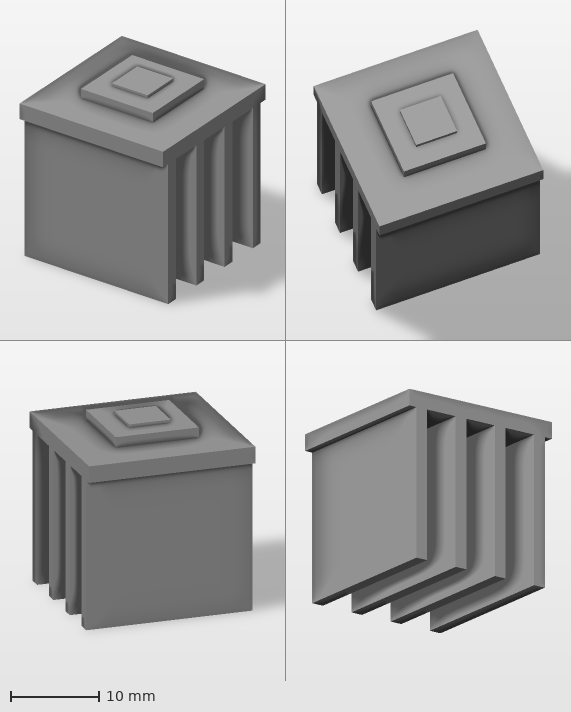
import cadquery as cq

BASE_SIDE = 20.0
BASE_THICKNESS = 2.0
FIN_HEIGHT = 18.0
FIN_THICKNESS = 1.5
FIN_COUNT = 4
FIN_EDGE_INSET = 1.0
FIN_PITCH = (BASE_SIDE - 2 * FIN_EDGE_INSET - FIN_THICKNESS) / (FIN_COUNT - 1)

BOARD_SIDE = BASE_SIDE / 2
LOWER_BOND_THICKNESS = 0.05
SUBSTRATE_THICKNESS = 1.02
UPPER_BOND_THICKNESS = 0.07
TOP_LAYER_THICKNESS = 0.13
DIE_SIDE = BASE_SIDE / 4
DIE_THICKNESS = 0.41

INSERT_SIDE = 0.5
INSERT_PITCH = 0.67
INSERT_COUNT = 3

BASE_TOP = FIN_HEIGHT + BASE_THICKNESS
LOWER_BOND_TOP = BASE_TOP + LOWER_BOND_THICKNESS
SUBSTRATE_TOP = LOWER_BOND_TOP + SUBSTRATE_THICKNESS
UPPER_BOND_TOP = SUBSTRATE_TOP + UPPER_BOND_THICKNESS
TOP_LAYER_TOP = UPPER_BOND_TOP + TOP_LAYER_THICKNESS


def row_positions(count, pitch):
    """Evenly spaced positions centred on zero."""
    return [(i - (count - 1) / 2) * pitch for i in range(count)]


def make_block(x_size, y_size, height, bottom, y_centre=0):
    """Upright block centred on X = 0, standing on the level `bottom`."""
    block = cq.Workplane("XY").box(x_size, y_size, height, centered=(True, True, False))
    return block.translate((0, y_centre, bottom))


def make_heat_sink():
    sink = make_block(BASE_SIDE, BASE_SIDE, BASE_THICKNESS, FIN_HEIGHT)
    for y in row_positions(FIN_COUNT, FIN_PITCH):
        sink = sink.union(make_block(BASE_SIDE, FIN_THICKNESS, FIN_HEIGHT, 0, y))
    return sink


def make_board_layer(thickness, bottom):
    """One full-width layer of the board between the heat sink and the die."""
    return make_block(BOARD_SIDE, BOARD_SIDE, thickness, bottom)


def make_insert(y_centre):
    return make_block(INSERT_SIDE, INSERT_SIDE, DIE_THICKNESS, TOP_LAYER_TOP, y_centre)


def make_die(inserts):
    """Die with one matching square hole for each insert."""
    die = make_block(DIE_SIDE, DIE_SIDE, DIE_THICKNESS, TOP_LAYER_TOP)
    for insert in inserts:
        die = die.cut(insert)
    return die


heat_sink = make_heat_sink()
lower_bond = make_board_layer(LOWER_BOND_THICKNESS, BASE_TOP)
substrate = make_board_layer(SUBSTRATE_THICKNESS, LOWER_BOND_TOP)
upper_bond = make_board_layer(UPPER_BOND_THICKNESS, SUBSTRATE_TOP)
top_layer = make_board_layer(TOP_LAYER_THICKNESS, UPPER_BOND_TOP)
inserts = [make_insert(y) for y in row_positions(INSERT_COUNT, INSERT_PITCH)]
die = make_die(inserts)

result = cq.Compound.makeCompound(
    [
        heat_sink.val(),
        lower_bond.val(),
        substrate.val(),
        upper_bond.val(),
        top_layer.val(),
        die.val(),
        *[insert.val() for insert in inserts],
    ]
)